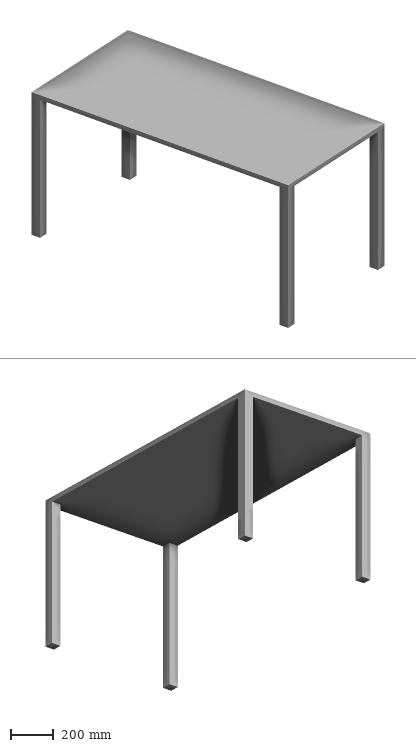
import cadquery as cq

length = 1500.0
width = 750.0
height = 762.5

top_thickness = 25.0
leg_side = 50.0


def make_top():
    """Flat table top, with its upper face at the full height."""
    return (
        cq.Workplane("XY")
        .workplane(offset=height - top_thickness)
        .rect(length, width)
        .extrude(top_thickness)
    )


def make_legs():
    """Four square legs, flush with the corners of the top and reaching its upper face."""
    return (
        cq.Workplane("XY")
        .rect(length - leg_side, width - leg_side, forConstruction=True)
        .vertices()
        .rect(leg_side, leg_side)
        .extrude(height)
    )


result = make_top().union(make_legs()).clean()